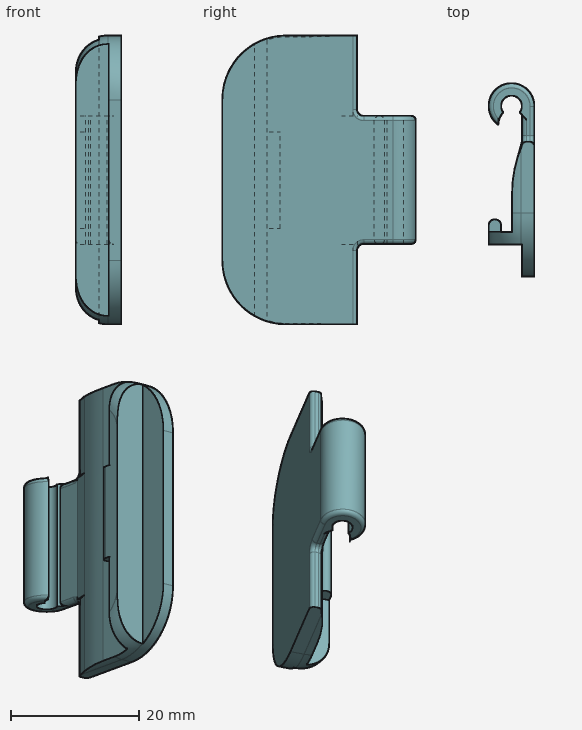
import cadquery as cq
import math

length = 45.0
depth = 7.15
total_width = 30.15

wall = 2.0
plate_width = 21.0
corner_radius = 10.0
edge_fillet = 0.7

body_depth = 3.5
body_flat_end = 13.0
ramp_arc_end = 18.6
ramp_arc_radius = 18.45

ledge_start = 5.0
ledge_end = ledge_start + wall
ledge_fillet = 5.0
lip_length = 15.0
lip_end = ledge_end + wall

tab_length = 20.0
root_fillet = 1.0
hook_radius = depth / 2
bore_radius = hook_radius - wall
hook_x = -hook_radius
hook_y = total_width - hook_radius
mouth_half_width = 1.25
mouth_depth = math.sqrt(bore_radius**2 - mouth_half_width**2)
tip_x_offset = 2.02
tip_y_offset = math.sqrt(hook_radius**2 - tip_x_offset**2)
tip_mid_x_offset = 1.8
tip_mid_y_offset = 1.8
throat_drop = 0.35

mouth_y = hook_y - mouth_depth
throat_y = mouth_y - throat_drop
throat_slope = throat_drop / (-wall - hook_x - mouth_half_width)
throat_back_y = throat_y - wall * throat_slope

margin = 0.05


def rounded_panel(thickness):
    """Plate outline with two rounded corners, extruded from x = 0 towards -X."""
    return (
        cq.Workplane("YZ")
        .rect(plate_width, length)
        .extrude(-thickness)
        .translate((0, plate_width / 2, 0))
        .edges("|X and <Y")
        .fillet(corner_radius)
    )


def make_plate_with_tab():
    """Plate and tab with rounded roots and edges; the tab stops at the sloping throat of the hook."""
    tab = (
        cq.Workplane("XY")
        .box(wall, hook_y - corner_radius, tab_length, centered=(False, False, True))
        .translate((-wall, corner_radius, 0))
    )
    panel = rounded_panel(wall).union(tab)
    roots = cq.selectors.BoxSelector(
        (-depth, plate_width - margin, -tab_length / 2 - margin),
        (depth, plate_width + margin, tab_length / 2 + margin),
    )
    panel = panel.edges("|X").edges(roots).fillet(root_fillet)
    exposed = cq.selectors.BoxSelector(
        (-depth, plate_width - margin, -length),
        (depth, hook_y - margin, length),
    )
    panel = panel.faces("<X or >X").edges(exposed).fillet(edge_fillet)
    beyond_throat = (
        cq.Workplane("XY")
        .workplane(offset=-tab_length)
        .polyline([(-wall, throat_y), (-wall, total_width), (0, total_width), (0, throat_back_y)])
        .close()
        .extrude(2 * tab_length)
    )
    return panel.cut(beyond_throat)


def make_hook():
    """Open hook starting at its sloping throat, rounded along the outside of both ends."""
    tip = (hook_x - tip_x_offset, hook_y - tip_y_offset)
    tip_face_middle = (hook_x - tip_mid_x_offset, hook_y - tip_mid_y_offset)
    blank = (
        cq.Workplane("XY")
        .workplane(offset=-tab_length / 2)
        .moveTo(0, plate_width)
        .lineTo(0, hook_y)
        .threePointArc((hook_x, total_width), tip)
        .lineTo(tip[0], plate_width)
        .close()
        .extrude(tab_length)
    )
    outside = blank.edges("%CIRCLE").add(blank.faces(">X").edges("|Y"))
    rounded = outside.fillet(edge_fillet)
    opening = (
        cq.Workplane("XY")
        .workplane(offset=-tab_length)
        .moveTo(*tip)
        .threePointArc(tip_face_middle, (hook_x - mouth_half_width, mouth_y))
        .threePointArc((hook_x, hook_y + bore_radius), (hook_x + mouth_half_width, mouth_y))
        .lineTo(0, throat_back_y)
        .lineTo(0, plate_width)
        .lineTo(tip[0], plate_width)
        .close()
        .extrude(2 * tab_length)
    )
    return rounded.cut(opening)


def ramped_body(span, ramp_end):
    """Body and ledge profile extruded over a centred span, its ramp meeting the plate at y = ramp_end."""
    ramp_angle = math.asin((ramp_arc_end - body_flat_end) / ramp_arc_radius)

    def on_arc(angle):
        rise = ramp_arc_radius * (1 - math.cos(angle))
        return (-body_depth + rise, body_flat_end + ramp_arc_radius * math.sin(angle))

    inside_plate = -wall / 2
    return (
        cq.Workplane("XY")
        .workplane(offset=-span / 2)
        .moveTo(inside_plate, ledge_start)
        .lineTo(-depth, ledge_start)
        .lineTo(-depth, ledge_end)
        .lineTo(-body_depth, ledge_end)
        .lineTo(-body_depth, body_flat_end)
        .threePointArc(on_arc(ramp_angle / 2), on_arc(ramp_angle))
        .lineTo(-wall, ramp_end)
        .lineTo(inside_plate, ramp_end)
        .close()
        .extrude(span)
    )


def make_body_and_ledge():
    """Deep panel with a rolled front edge, trimmed to the ramped body and the ledge."""
    rolled = rounded_panel(depth).faces("<X").edges("not >Y").fillet(ledge_fillet)
    beside_tab = ramped_body(length, plate_width - edge_fillet)
    at_tab = ramped_body(tab_length, plate_width)
    return rolled.intersect(beside_tab.union(at_tab))


def make_lip():
    """Round-topped bar standing on the outer end of the ledge."""
    lip_radius = wall / 2
    return (
        cq.Workplane("XY")
        .workplane(offset=-lip_length / 2)
        .moveTo(-depth, ledge_start)
        .lineTo(-depth, lip_end - lip_radius)
        .threePointArc((-depth + lip_radius, lip_end), (-depth + wall, lip_end - lip_radius))
        .lineTo(-depth + wall, ledge_start)
        .close()
        .extrude(lip_length)
    )


result = make_plate_with_tab().union(make_hook()).union(make_body_and_ledge()).union(make_lip())